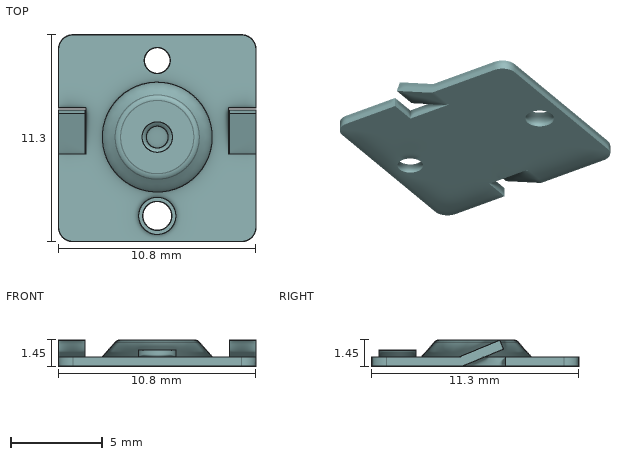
import cadquery as cq
import math

plate_x = 10.79
plate_y = 11.3
plate_thickness = 0.53
corner_radius = 0.8

total_height = 1.45
dome_y = 0.06
dome_base_radius = 3.0
dome_flat_radius = 2.0
dome_slope_angle = 48.3
dome_rim_radius = 0.4
dimple_mouth_diameter = 1.66
dimple_floor_diameter = 1.19
dimple_depth = 0.24

plain_hole_diameter = 1.4
plain_hole_y = 4.24
collar_outer_diameter = 2.03
collar_hole_diameter = 1.57
collar_height = 0.36
collar_y = -4.24

notch_depth = 1.5
notch_length = 2.5
tab_hinge_y = -0.85
tab_width = 1.46
tab_length = 2.37
tab_angle = 22.5


def make_plate():
    plate = cq.Workplane("XY").box(plate_x, plate_y, plate_thickness, centered=(True, True, False))
    return plate.edges("|Z").fillet(corner_radius)


def make_dome():
    """Cone whose rim is an arc blending the flank into the flat top."""
    slope = math.radians(dome_slope_angle)
    rim_radius = dome_flat_radius + dome_rim_radius * math.sin(slope)
    rim_z = total_height - dome_rim_radius * (1 - math.cos(slope))
    arc_mid_radius = dome_flat_radius + dome_rim_radius * math.sin(slope / 2)
    arc_mid_z = total_height - dome_rim_radius * (1 - math.cos(slope / 2))
    profile = (
        cq.Workplane("XZ")
        .lineTo(dome_base_radius, 0)
        .lineTo(dome_base_radius, plate_thickness)
        .lineTo(rim_radius, rim_z)
        .threePointArc((arc_mid_radius, arc_mid_z), (dome_flat_radius, total_height))
        .lineTo(0, total_height)
        .close()
    )
    return profile.revolve(360, (0, 0), (0, 1)).translate((0, dome_y, 0))


def make_dimple():
    """Tapered recess in the dome top, used as a cutter."""
    return (
        cq.Workplane("XY", origin=(0, dome_y, total_height - dimple_depth))
        .circle(dimple_floor_diameter / 2)
        .workplane(offset=dimple_depth)
        .circle(dimple_mouth_diameter / 2)
        .loft()
    )


def make_cylinder(diameter, y, height):
    return cq.Workplane("XY", origin=(0, y, 0)).circle(diameter / 2).extrude(height)


def make_notch(side):
    """Cutter for the notch in one X edge; side is -1 or +1."""
    notch = cq.Workplane("XY").box(
        notch_depth, notch_length, plate_thickness, centered=(True, False, False)
    )
    notch_centre_x = side * (plate_x - notch_depth) / 2
    return notch.translate((notch_centre_x, tab_hinge_y, 0))


def make_tab(side):
    """Tab hinged on the plate's top surface, with a round bend below the hinge line."""
    angle = math.radians(tab_angle)

    def below_hinge(bend):
        """Underside point (y, z) reached after turning by the given bend angle."""
        return (
            tab_hinge_y + plate_thickness * math.sin(bend),
            plate_thickness - plate_thickness * math.cos(bend),
        )

    along_y = tab_length * math.cos(angle)
    along_z = tab_length * math.sin(angle)
    bend_end = below_hinge(angle)
    profile = (
        cq.Workplane("YZ")
        .moveTo(tab_hinge_y, plate_thickness)
        .lineTo(*below_hinge(0))
        .threePointArc(below_hinge(angle / 2), bend_end)
        .lineTo(bend_end[0] + along_y, bend_end[1] + along_z)
        .lineTo(tab_hinge_y + along_y, plate_thickness + along_z)
        .close()
    )
    tab_centre_x = side * (plate_x - tab_width) / 2
    return profile.extrude(tab_width / 2, both=True).translate((tab_centre_x, 0, 0))


result = make_plate()
result = result.union(make_dome()).cut(make_dimple())
result = result.cut(make_cylinder(plain_hole_diameter, plain_hole_y, plate_thickness))

collar_top = plate_thickness + collar_height
result = result.union(make_cylinder(collar_outer_diameter, collar_y, collar_top))
result = result.cut(make_cylinder(collar_hole_diameter, collar_y, collar_top))

for side in (-1, 1):
    result = result.cut(make_notch(side)).union(make_tab(side))